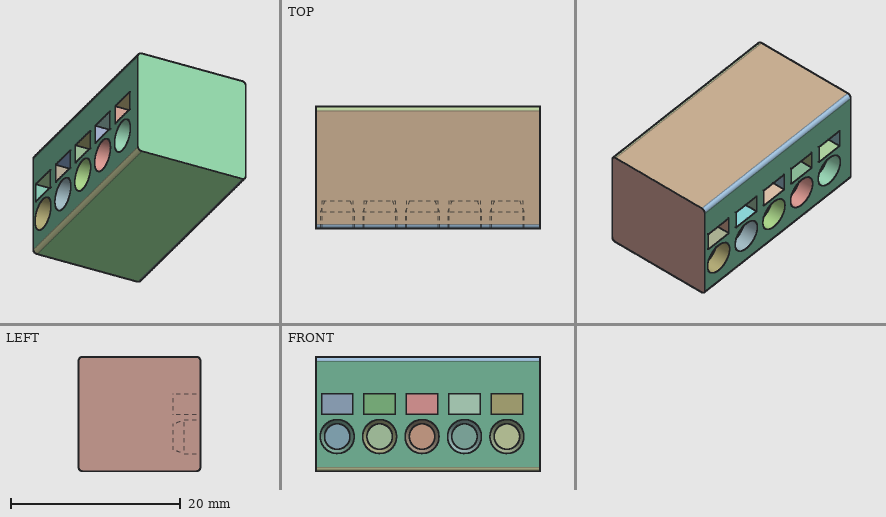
import cadquery as cq

length = 26.4
depth = 14.4
height = 13.5
edge_radius = 0.5

terminal_count = 5
pitch = 5.0
first_terminal_x = pitch / 2

entry_z = 4.1
bore_diameter = 4.0
bore_depth = 2.0
floor_diameter = 3.0
cone_depth = 1.3
entry_depth = bore_depth + cone_depth

slot_z = 7.95
slot_width = 3.7
slot_height = 2.4
slot_depth = entry_depth


def make_housing():
    """Block with its corner at the origin and its four long edges rounded."""
    block = cq.Workplane("XY").box(length, depth, height, centered=False)
    return block.edges("|X").fillet(edge_radius)


def make_wire_entry(x):
    """Cutter for one wire entry, revolved about an axis running inward (+Y)."""
    bore_radius = bore_diameter / 2
    floor_radius = floor_diameter / 2
    profile = (
        cq.Workplane("XY")
        .moveTo(0, 0)
        .lineTo(bore_radius, 0)
        .lineTo(bore_radius, bore_depth)
        .lineTo(floor_radius, entry_depth)
        .lineTo(0, entry_depth)
        .close()
    )
    entry = profile.revolve(360, (0, 0, 0), (0, 1, 0))
    return entry.translate((x, 0, entry_z))


def make_release_slot(x):
    """Cutter for one flat-bottomed rectangular slot."""
    slot = cq.Workplane("XY").box(slot_width, slot_depth, slot_height, centered=(True, False, True))
    return slot.translate((x, 0, slot_z))


result = make_housing()
for index in range(terminal_count):
    terminal_x = first_terminal_x + index * pitch
    result = result.cut(make_wire_entry(terminal_x))
    result = result.cut(make_release_slot(terminal_x))